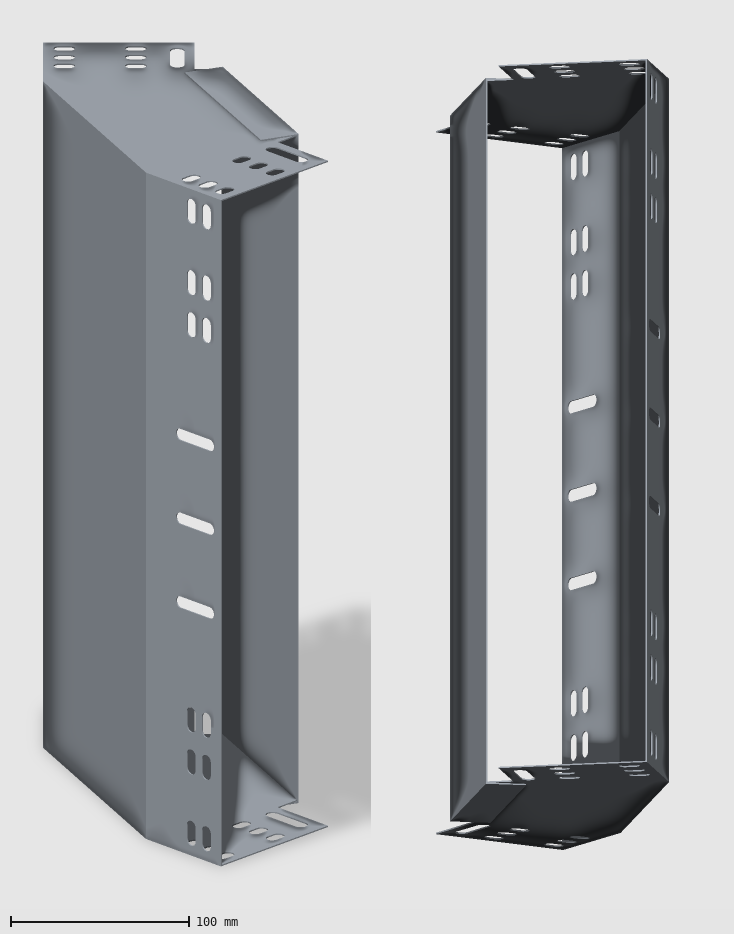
import cadquery as cq
import math

TOTAL_WIDTH = 260.01
TOTAL_DEPTH = 101.22
TOTAL_HEIGHT = 403.2

SHEET = 0.8
WING_ANGLE = 22.5

TRAY_HEIGHT = TOTAL_HEIGHT - 2 * SHEET
SIDE_DEPTH = 85.0
WING_EDGE_LENGTH = 40.0

COVER_WIDTH = 111.2
COVER_LIP = 23.0
COVER_SET_BACK = 0.4

SLOT_WIDTH = 7.0

FLOOR_SLOT_LENGTH = 15.0
FLOOR_SLOT_COLUMNS = (11.5, 23.5)
FLOOR_SLOT_HEIGHTS = (119.0, 144.4, 187.4)
FLOOR_LONG_SLOT_LENGTH = 30.0
FLOOR_LONG_SLOT_PLACE = 20.5
FLOOR_LONG_SLOT_PITCH = 50.5

SIDE_SLOT_LENGTH = 12.0
SIDE_SLOT_COLUMNS = (8.8, 22.1, 35.4)
SIDE_SLOT_ROWS = (12.0, 52.0)
SIDE_LONG_SLOT_LENGTH = 30.0
SIDE_LONG_SLOT_WIDTH = 8.0
SIDE_LONG_SLOT_PLACE = (23.0, 75.3)

COS = math.cos(math.radians(WING_ANGLE))
SIN = math.sin(math.radians(WING_ANGLE))
TAN = math.tan(math.radians(WING_ANGLE))

FLOOR_Y = -TOTAL_DEPTH / 2
TIP_Y = TOTAL_DEPTH / 2
COVER_Y = TIP_Y - COVER_SET_BACK
COVER_INNER_Y = COVER_Y - SHEET

CORNER_X = TOTAL_WIDTH / 2
CORNER_Y = TIP_Y - SIDE_DEPTH * COS
BEND_X = CORNER_X - (CORNER_Y - FLOOR_Y) / TAN


def wing_point(along, across):
    """Point on the +X wing: `along` from its end toward the middle, `across` from its floor."""
    return (
        CORNER_X - along * COS - across * SIN,
        CORNER_Y - along * SIN + across * COS,
    )


def mirrored_outline(right_half):
    """Closed outline from its +X half, listed from the floor to the open side."""
    left_half = [(-x, y) for x, y in reversed(right_half)]
    return cq.Workplane("XY").polyline(right_half + left_half).close()


def tray_blank():
    notch = wing_point(WING_EDGE_LENGTH, SIDE_DEPTH)
    shoulder = (notch[0] - (COVER_INNER_Y - notch[1]) * TAN, COVER_INNER_Y)
    plate = [
        (BEND_X, FLOOR_Y),
        wing_point(0, 0),
        wing_point(0, SIDE_DEPTH),
        notch,
        shoulder,
    ]
    blank = mirrored_outline(plate).extrude(TRAY_HEIGHT / 2, both=True)

    inner_bend = (BEND_X - SHEET * math.tan(math.radians(WING_ANGLE / 2)), FLOOR_Y + SHEET)
    inner_end = wing_point(0, SHEET)
    past_end = (inner_end[0] + TOTAL_DEPTH * COS, inner_end[1] + TOTAL_DEPTH * SIN)
    room = [inner_bend, past_end, (past_end[0], TOTAL_DEPTH)]
    inside = mirrored_outline(room).extrude(TRAY_HEIGHT / 2 - SHEET, both=True)
    return blank.cut(inside)


def slot_cutters(plane, places, length, width, turn, reach):
    """Slot-shaped cutters on a plane, reaching equally far to both of its sides."""
    slots = cq.Workplane(plane).pushPoints(places).slot2D(length, width, turn)
    return slots.extrude(reach, both=True)


def floor_slots():
    """Cutters through the +X wing of the floor."""
    wing = cq.Plane(
        origin=(CORNER_X, CORNER_Y, 0),
        xDir=(-COS, -SIN, 0),
        normal=(-SIN, COS, 0),
    )
    heights = [sign * z for z in FLOOR_SLOT_HEIGHTS for sign in (-1, 1)]
    short_places = [(along, z) for along in FLOOR_SLOT_COLUMNS for z in heights]
    long_places = [(FLOOR_LONG_SLOT_PLACE, step * FLOOR_LONG_SLOT_PITCH) for step in (-1, 0, 1)]
    reach = 2 * SHEET
    short = slot_cutters(wing, short_places, FLOOR_SLOT_LENGTH, SLOT_WIDTH, 90, reach)
    long = slot_cutters(wing, long_places, FLOOR_LONG_SLOT_LENGTH, SLOT_WIDTH, 0, reach)
    return short.union(long)


def side_slots():
    """Cutters through both side plates at the +X wing."""
    short_places = [wing_point(along, across) for along in SIDE_SLOT_COLUMNS for across in SIDE_SLOT_ROWS]
    long_places = [wing_point(*SIDE_LONG_SLOT_PLACE)]
    across_turn = 90 + WING_ANGLE
    short = slot_cutters("XY", short_places, SIDE_SLOT_LENGTH, SLOT_WIDTH, across_turn, TOTAL_HEIGHT)
    long = slot_cutters(
        "XY", long_places, SIDE_LONG_SLOT_LENGTH, SIDE_LONG_SLOT_WIDTH, WING_ANGLE, TOTAL_HEIGHT
    )
    return short.union(long)


def make_tray():
    cutters = floor_slots().union(side_slots())
    return tray_blank().cut(cutters).cut(cutters.mirror("YZ"))


def make_cover():
    outer = cq.Workplane("XY").box(COVER_WIDTH, COVER_LIP, TOTAL_HEIGHT)
    outer = outer.translate((0, COVER_Y - COVER_LIP / 2, 0))
    room = cq.Workplane("XY").box(COVER_WIDTH, COVER_LIP, TRAY_HEIGHT)
    room = room.translate((0, COVER_INNER_Y - COVER_LIP / 2, 0))
    return outer.cut(room)


tray = make_tray()
cover = make_cover()

result = cq.Compound.makeCompound([tray.val(), cover.val()])